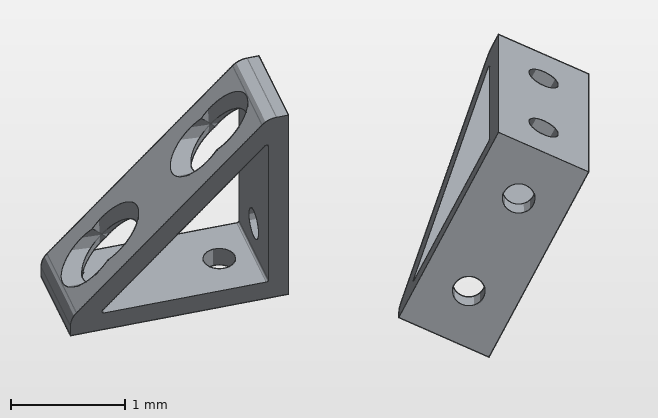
import cadquery as cq
import math

width = 0.88
leg = 2.0
tip_thickness = 0.188
wall = 0.185
slope_wall = 0.188
nose_radius = 0.188
window_radius = 0.02
bolt_diameter = 0.285
access_diameter = 0.5
hole_positions = (0.5, 1.5)

outer_reach = leg + tip_thickness
inner_reach = outer_reach - slope_wall * math.sqrt(2)
window_end = inner_reach - wall


def make_body():
    """Triangular bracket with blunt tips, rounded into the sloping face."""
    outline = [
        (0, 0),
        (-leg, 0),
        (-leg, tip_thickness),
        (-tip_thickness, leg),
        (0, leg),
    ]
    body = cq.Workplane("YZ").polyline(outline).close().extrude(width / 2, both=True)
    slope_edges = body.faces("<Y or >Z").edges("|X")
    slope_edges = slope_edges.filter(
        lambda edge: edge.Center().z - edge.Center().y > leg + tip_thickness / 2
    )
    return slope_edges.fillet(nose_radius)


def make_window():
    """Triangular opening that leaves the two leg walls and the sloping wall."""
    outline = [(-wall, wall), (-window_end, wall), (-wall, window_end)]
    window = cq.Workplane("YZ").polyline(outline).close().extrude(width / 2, both=True)
    return window.edges("|X").fillet(window_radius)


def make_hole(center, direction):
    """Bolt hole through one leg and the wider access bore through the slope."""
    bolt = cq.Solid.makeCylinder(bolt_diameter / 2, leg, center, direction)
    access_start = center + direction * wall
    access = cq.Solid.makeCylinder(access_diameter / 2, leg, access_start, direction)
    return bolt.fuse(access)


result = make_body().cut(make_window())
for position in hole_positions:
    floor_hole = make_hole(cq.Vector(0, -position, 0), cq.Vector(0, 0, 1))
    back_hole = make_hole(cq.Vector(0, 0, position), cq.Vector(0, -1, 0))
    result = result.cut(cq.Workplane(obj=floor_hole)).cut(cq.Workplane(obj=back_hole))